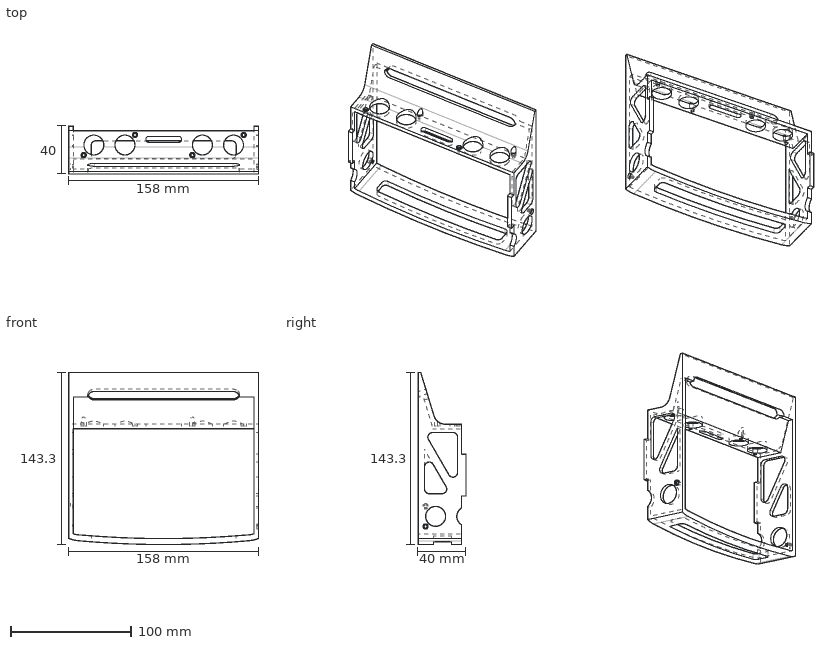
import cadquery as cq
import math


width = 158.0
height = 143.3
depth = 36.2
wall = 4.0
inner_width = width - 2 * wall
through = 3 * width

plate_thickness = 5.0
bow_radius = 790.0
bow_half_span = 71.1
bow_end_radius = 27.8

panel_angle = 17.0
panel_thickness = 4.0
panel_top_thickness = 2.2
shelf_top = 100.3
shelf_thickness = 4.0
shelf_bottom = shelf_top - shelf_thickness
shelf_fillet = 9.5
pocket_top = 122.8
panel_slope = math.tan(math.radians(panel_angle))
panel_gap = panel_thickness / math.cos(math.radians(panel_angle))

tab_bottom = 40.5
tab_top = 75.4
tab_depth = 3.8

panel_slot_height = 8.2
panel_slot_straight = 115.3
panel_slot_length = 126.4
panel_slot_z = 125.5
panel_slot_reach = 15.8

plate_slot_length = 120.4
plate_slot_width = 14.7
plate_slot_y = 20.2
plate_slot_corner = 3.6
plate_slot_reach = 15.8
shelf_slot_length = 29.7
shelf_slot_width = 4.9
shelf_slot_y = 28.9

opening_radius = 8.2
opening_pitch = 25.9
shelf_opening_y = 24.2
shelf_opening_x = 58.1
side_opening_y = 14.5
side_opening_z = 23.5
shelf_opening_reach = 15.8
screw_offset = 8.4
screw_diameter = 2.5
screw_head_diameter = 4.5
screw_head_depth = 1.6

window_front = 5.4
window_rear = 32.7
window_bottom = 42.5
window_top = 93.2
window_corner = 3.8
brace_width = 7.1
brace_angle = 30.0


def panel_outer_y(z):
    return panel_top_thickness + panel_slope * (height - z)


def panel_inner_y(z):
    return panel_outer_y(z) - panel_gap


def along_x(profile, length):
    """Extrude a YZ profile to the given length, centred on X."""
    return profile.extrude(length / 2, both=True)


def bowed_block(block_width, inset):
    """Block along Y whose underside is the bowed outline, inset upward by a constant thickness.

    The underside is one shallow arc with a tighter arc, smoothly joined, at each end.
    """
    half = block_width / 2
    join_angle = math.asin(bow_half_span / bow_radius)
    end_center_x = (bow_radius - bow_end_radius) * math.sin(join_angle)
    end_center_z = bow_radius - (bow_radius - bow_end_radius) * math.cos(join_angle)
    end_angle = math.asin((half - end_center_x) / (bow_end_radius - inset))

    def on_bow(angle):
        radius = bow_radius - inset
        return radius * math.sin(angle), bow_radius - radius * math.cos(angle)

    def on_end(angle):
        radius = bow_end_radius - inset
        return end_center_x + radius * math.sin(angle), end_center_z - radius * math.cos(angle)

    right_half = (
        cq.Workplane("XZ")
        .moveTo(*on_bow(0))
        .threePointArc(on_bow(join_angle / 2), on_bow(join_angle))
        .threePointArc(on_end((join_angle + end_angle) / 2), on_end(end_angle))
        .lineTo(half, height)
        .lineTo(0, height)
        .close()
        .extrude(through, both=True)
    )
    return right_half.union(right_half.mirror("YZ"))


def make_frame():
    rear = depth + tab_depth
    side = along_x(
        cq.Workplane("YZ").polyline([
            (0, 0),
            (depth, 0),
            (depth, tab_bottom),
            (rear, tab_bottom),
            (rear, tab_top),
            (depth, tab_top),
            (depth, shelf_top),
            (panel_outer_y(shelf_top), shelf_top),
            (panel_top_thickness, height),
            (0, height),
        ]).close(),
        width,
    )
    bend = cq.selectors.NearestToPointSelector((0, panel_outer_y(shelf_top), shelf_top))
    side = side.edges(bend).fillet(shelf_fillet)
    return side.intersect(bowed_block(width, 0))


def make_cavity():
    """Space inside the frame, open at the front and the rear."""
    side = along_x(
        cq.Workplane("YZ").polyline([
            (-depth, 0),
            (2 * depth, 0),
            (2 * depth, shelf_bottom),
            (panel_inner_y(shelf_bottom), shelf_bottom),
            (panel_inner_y(pocket_top), pocket_top),
            (-depth, pocket_top),
        ]).close(),
        inner_width,
    )
    return side.intersect(bowed_block(inner_width, plate_thickness))


def make_panel_slot():
    """Slot square to the sloped panel, each end drawn in to a blunt tip."""
    plane = cq.Plane(
        origin=(0, panel_outer_y(panel_slot_z), panel_slot_z),
        xDir=(1, 0, 0),
        normal=(0, -1, -panel_slope),
    )
    start = panel_slot_straight / 2
    tip = panel_slot_length / 2
    half = panel_slot_height / 2
    end_radius = ((tip - start) ** 2 + half**2) / (2 * half)
    half_sweep = math.asin((tip - start) / end_radius) / 2
    mid_x = start + end_radius * math.sin(half_sweep)
    mid_y = half - end_radius * (1 - math.cos(half_sweep))
    return (
        cq.Workplane(plane)
        .moveTo(-start, half)
        .lineTo(start, half)
        .threePointArc((mid_x, mid_y), (tip, 0))
        .threePointArc((mid_x, -mid_y), (start, -half))
        .lineTo(-start, -half)
        .threePointArc((-mid_x, -mid_y), (-tip, 0))
        .threePointArc((-mid_x, mid_y), (-start, half))
        .close()
        .extrude(panel_slot_reach, both=True)
    )


def make_plate_slot():
    return (
        cq.Workplane("XY", origin=(0, plate_slot_y, 0))
        .rect(plate_slot_length, plate_slot_width)
        .extrude(plate_slot_reach)
        .edges("|Z")
        .fillet(plate_slot_corner)
    )


def make_shelf_slot():
    return (
        cq.Workplane("XY", origin=(0, shelf_slot_y, shelf_top))
        .slot2D(shelf_slot_length, shelf_slot_width)
        .extrude(-2 * shelf_thickness)
    )


def make_opening(face, direction, reach):
    """Round opening centred on the face plane, with its screw hole offset along the diagonal.

    The plane's normal points out of the part; direction is 1 or -1 along both plane axes.
    """
    offset = direction * screw_offset
    opening = face.circle(opening_radius).extrude(reach, both=True)
    screw = face.center(offset, offset)
    hole = screw.circle(screw_diameter / 2).extrude(-reach)
    head_floor = screw.workplane(offset=-screw_head_depth)
    head = head_floor.circle(screw_head_diameter / 2).extrude(reach)
    return opening.union(hole).union(head)


def make_shelf_openings():
    outer_x = shelf_opening_x
    inner_x = outer_x - opening_pitch
    openings = cq.Workplane("XY")
    for x, direction in [(-outer_x, -1), (-inner_x, 1), (inner_x, -1), (outer_x, 1)]:
        face = cq.Workplane("XY", origin=(x, shelf_opening_y, shelf_top))
        openings = openings.add(make_opening(face, direction, shelf_opening_reach))
    return openings.combine()


def make_side_openings():
    """Opening and screw hole in each side wall, and the round notch in its rear edge."""
    openings = cq.Workplane("XY")
    for side in (-1, 1):
        plane = cq.Plane(
            origin=(side * width / 2, side_opening_y, side_opening_z),
            xDir=(0, side, 0),
            normal=(side, 0, 0),
        )
        face = cq.Workplane(plane)
        openings = openings.add(make_opening(face, -side, 2 * wall))
        notch = face.center(side * opening_pitch, 0).circle(opening_radius)
        openings = openings.add(notch.extrude(2 * wall, both=True))
    return openings.combine()


def make_side_windows():
    """Two triangles that leave a diagonal brace between them."""
    rise = 1 / math.tan(math.radians(brace_angle))
    window_depth = window_rear - window_front
    apex = window_top - brace_width / math.sin(math.radians(brace_angle))
    upper = along_x(
        cq.Workplane("YZ").polyline([
            (window_front, window_top),
            (window_rear, window_top),
            (window_rear, window_top - rise * window_depth),
        ]).close(),
        through,
    )
    lower = along_x(
        cq.Workplane("YZ").polyline([
            (window_front, window_bottom),
            (window_front, apex),
            (window_front + (apex - window_bottom) / rise, window_bottom),
        ]).close(),
        through,
    )
    left_half = cq.Workplane("XY").box(through, through, through).translate((-through / 2, 0, 0))
    rounded = lower.edges("|X").fillet(window_corner)
    sharp_top = lower.edges("|X and (not >Z)").fillet(window_corner).intersect(left_half)
    return upper.edges("|X").fillet(window_corner).union(rounded).union(sharp_top)


result = (
    make_frame()
    .cut(make_cavity())
    .cut(make_panel_slot())
    .cut(make_plate_slot())
    .cut(make_shelf_slot())
    .cut(make_shelf_openings())
    .cut(make_side_openings())
    .cut(make_side_windows())
)